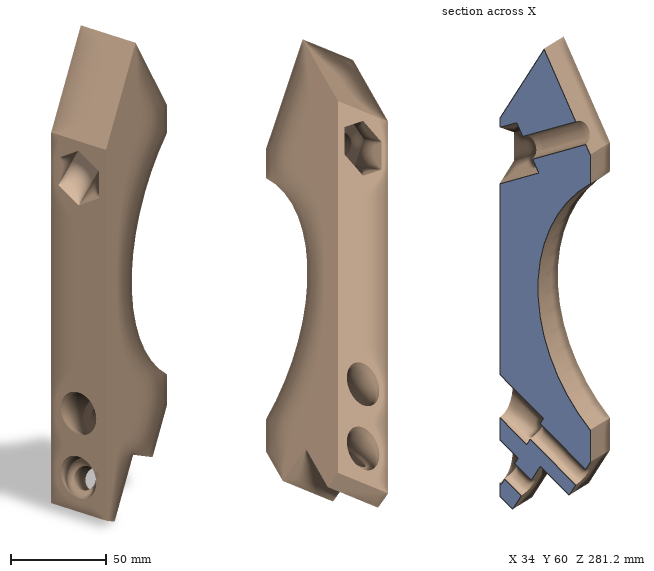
import cadquery as cq
import math

width = 34.0
depth = 60.0
height = 281.2

steep = math.tan(math.radians(60))
shallow = math.tan(math.radians(30))
tip_y = 29.2
foot_y = 8.5
step_corner_y = 26.7
heel_y = 45.8

saddle_radius = 95.0
saddle_bottom_y = 25.3
saddle_z = 137.5

tilt = 30.0
bolt_diameter = 13.0
head_diameter = 22.0
lower_bolt_z = 26.0
bolt_spacing = 33.8
head_seat_thickness = 13.0
nut_axis_z = 208.0
nut_flats = 25.0
nut_pocket_depth = 21.0
tool_overrun = 28.0
through_length = 168.8


def make_body():
    """Side profile extruded symmetrically across the width."""
    step_corner_z = (step_corner_y - foot_y) * steep
    heel_z = step_corner_z - (heel_y - step_corner_y) * shallow
    heel_top_z = heel_z + (depth - heel_y) * steep
    saddle_center_y = saddle_bottom_y + saddle_radius
    saddle_half_chord = math.sqrt(saddle_radius**2 - (saddle_center_y - depth) ** 2)
    return (
        cq.Workplane("YZ")
        .moveTo(0, foot_y * shallow)
        .lineTo(foot_y, 0)
        .lineTo(step_corner_y, step_corner_z)
        .lineTo(heel_y, heel_z)
        .lineTo(depth, heel_top_z)
        .lineTo(depth, saddle_z - saddle_half_chord)
        .threePointArc((saddle_bottom_y, saddle_z), (depth, saddle_z + saddle_half_chord))
        .lineTo(depth, height - (depth - tip_y) * steep)
        .lineTo(tip_y, height)
        .lineTo(0, height - tip_y * steep)
        .close()
        .extrude(width / 2, both=True)
    )


def tilted_plane(front_z, angle):
    """Plane on the front face whose normal points into the bar, raised by angle."""
    radians = math.radians(angle)
    normal = (0, math.cos(radians), math.sin(radians))
    return cq.Plane(origin=(0, 0, front_z), xDir=(1, 0, 0), normal=normal)


def bolt_hole(front_z):
    """Downward counterbored hole; all head seats share one plane parallel to the foot."""
    radians = math.radians(tilt)
    foot_distance = foot_y * math.cos(radians) + front_z * math.sin(radians)
    head_depth = foot_distance - head_seat_thickness
    start = cq.Workplane(tilted_plane(front_z, -tilt)).workplane(offset=-tool_overrun)
    head = start.circle(head_diameter / 2).extrude(tool_overrun + head_depth)
    shank = start.circle(bolt_diameter / 2).extrude(through_length)
    return head.union(shank)


def nut_hole():
    """Upward hole through the rear slope, with a hexagonal nut pocket at the front."""
    start = cq.Workplane(tilted_plane(nut_axis_z, tilt)).workplane(offset=-tool_overrun)
    across_corners = nut_flats / math.cos(math.radians(30))
    pocket = (
        start.transformed(rotate=(0, 0, 90))
        .polygon(6, across_corners)
        .extrude(tool_overrun + nut_pocket_depth)
    )
    shank = start.circle(bolt_diameter / 2).extrude(through_length)
    return pocket.union(shank)


result = make_body().cut(nut_hole())
bolt_pitch_z = bolt_spacing / math.cos(math.radians(tilt))
for index in range(2):
    result = result.cut(bolt_hole(lower_bolt_z + index * bolt_pitch_z))